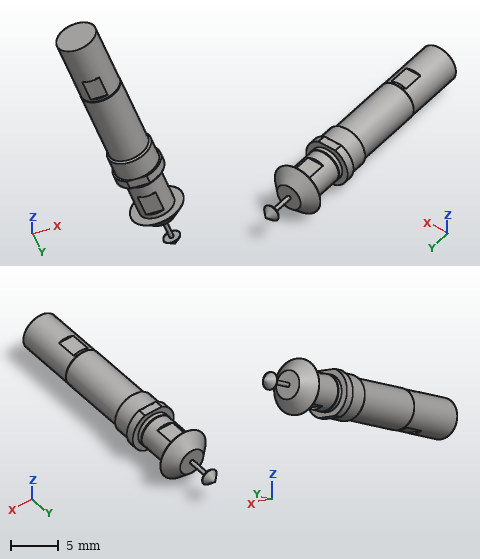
import cadquery as cq

overall_length = 29.7

tip_rim_start = 0.95
tip_back = 1.05
hood_front = 3.98
hood_rim_start = 5.44
hood_back = 5.5
neck_taper_start = 9.9
neck_taper_end = 9.98
flange_front = 10.48
flange_back = 11.5
collar_chamfer_start = 13.8
barrel_start = 14.0
barrel_chamfer_start = 22.4
tail_start = 22.48

tip_radius = 0.95
pin_radius = 0.25
hood_front_radius = 1.55
hood_radius = 3.0
neck_radius = 2.0
neck_shoulder_radius = 2.02
flange_radius = 2.73
collar_radius = 2.5
barrel_radius = 2.25
tail_radius = 2.23

flat_length = 2.5
neck_flat_start = 6.03
neck_flat_height = 1.72
tail_flat_start = 22.78
tail_flat_height = 2.02


def revolve_body():
    """Revolve the stepped half profile, listed as (radius, distance from tip)."""
    profile = [
        (0, 0),
        (tip_radius, tip_rim_start),
        (tip_radius, tip_back),
        (pin_radius, tip_back),
        (pin_radius, hood_front),
        (hood_front_radius, hood_front),
        (hood_radius, hood_rim_start),
        (hood_radius, hood_back),
        (neck_radius, hood_back),
        (neck_radius, neck_taper_start),
        (neck_shoulder_radius, neck_taper_end),
        (neck_shoulder_radius, flange_front),
        (flange_radius, flange_front),
        (flange_radius, flange_back),
        (collar_radius, flange_back),
        (collar_radius, collar_chamfer_start),
        (barrel_radius, barrel_start),
        (barrel_radius, barrel_chamfer_start),
        (tail_radius, tail_start),
        (tail_radius, overall_length),
        (0, overall_length),
    ]
    points = [(radius, overall_length - distance) for radius, distance in profile]
    return cq.Workplane("XY").polyline(points).close().revolve(360, (0, 0), (0, 1))


def cut_flat_pair(body, start, length, height):
    """Trim a stretch of the body to two flats at Z = +height and Z = -height."""
    cutter_size = 2 * hood_radius
    cutter_center_y = overall_length - start - length / 2
    for side in (1, -1):
        cutter_center_z = side * (height + cutter_size / 2)
        cutter = cq.Workplane("XY").box(cutter_size, length, cutter_size)
        body = body.cut(cutter.translate((0, cutter_center_y, cutter_center_z)))
    return body


result = revolve_body()
result = cut_flat_pair(result, neck_flat_start, flat_length, neck_flat_height)
result = cut_flat_pair(result, tail_flat_start, flat_length, tail_flat_height)

result = cut_flat_pair(result, flange_front, flange_back - flange_front, collar_radius)